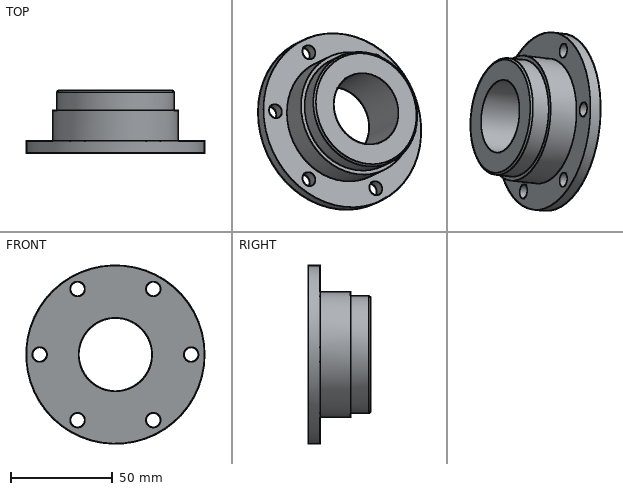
import cadquery as cq

flange_diameter = 88.0
flange_thickness = 6.0

shoulder_diameter = 61.95
shoulder_length = 15.0
spigot_diameter = 58.0
spigot_length = 10.0
spigot_chamfer = 1.0

bore_diameter = 36.0
bolt_circle_diameter = 74.6
bolt_hole_diameter = 7.0
bolt_hole_count = 6

shoulder_end = flange_thickness + shoulder_length
total_length = shoulder_end + spigot_length


def cylinder(diameter, start, length):
    """Cylinder along +Y, starting at the given Y position."""
    plane = cq.Plane(origin=(0, start, 0), xDir=(1, 0, 0), normal=(0, 1, 0))
    return cq.Workplane(plane).circle(diameter / 2).extrude(length)


def bolt_holes():
    """Evenly spaced cutters, the first one on the X axis."""
    plane = cq.Plane(origin=(0, 0, 0), xDir=(1, 0, 0), normal=(0, 1, 0))
    return (
        cq.Workplane(plane)
        .polarArray(bolt_circle_diameter / 2, 0, 360, bolt_hole_count)
        .circle(bolt_hole_diameter / 2)
        .extrude(flange_thickness)
    )


flange = cylinder(flange_diameter, 0, flange_thickness)
shoulder = cylinder(shoulder_diameter, flange_thickness, shoulder_length)
spigot = cylinder(spigot_diameter, shoulder_end, spigot_length)
spigot = spigot.faces(">Y").edges().chamfer(spigot_chamfer)
bore = cylinder(bore_diameter, 0, total_length)

result = flange.union(shoulder).union(spigot).cut(bore).cut(bolt_holes())